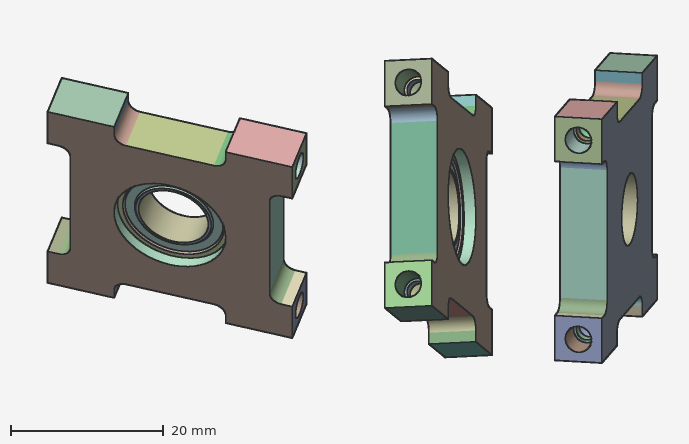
import cadquery as cq
import math

width = 33.53
thickness = 6.35
height = 33.03
notch_depth = 3.12
top_notch_width = 15.25
side_notch_height = 20.85
notch_radius = 1.6

seat_diameter = 15.3
seat_depth = 1.58
outer_race_diameter = 13.88
shield_outer_diameter = 13.4
shield_inner_diameter = 10.8
inner_race_diameter = 10.35
shield_recess = 0.27
bore_diameter = 9.55

thread_diameter = 3.5
thread_depth = 5.03
drill_diameter = 2.75
drill_depth = 6.7
drill_point_angle = 118.0

front = -thickness / 2
back = thickness / 2


def make_plate():
    """Rectangular plate with a round-cornered notch in the middle of each edge."""
    plate = cq.Workplane("XY").box(width, thickness, height)
    top_cutter = (
        cq.Workplane("XY")
        .box(top_notch_width, thickness, 2 * notch_depth)
        .edges("|Y")
        .fillet(notch_radius)
    )
    side_cutter = (
        cq.Workplane("XY")
        .box(2 * notch_depth, thickness, side_notch_height)
        .edges("|Y")
        .fillet(notch_radius)
    )
    for side in (-1, 1):
        plate = plate.cut(top_cutter.translate((0, 0, side * height / 2)))
        plate = plate.cut(side_cutter.translate((side * width / 2, 0, 0)))
    return plate


def make_bearing_cut():
    """Space in front of the bearing, its recessed shield and its bore."""
    seat_floor = front + seat_depth
    shield_face = seat_floor + shield_recess
    profile = [
        (0, front),
        (seat_diameter / 2, front),
        (seat_diameter / 2, seat_floor),
        (outer_race_diameter / 2, seat_floor),
        (shield_outer_diameter / 2, shield_face),
        (shield_inner_diameter / 2, shield_face),
        (inner_race_diameter / 2, seat_floor),
        (bore_diameter / 2, seat_floor),
        (bore_diameter / 2, back),
        (0, back),
    ]
    return cq.Workplane("XY").polyline(profile).close().revolve(360, (0, 0), (0, 1))


def make_lug_hole():
    """Stepped hole with a drill point, running along +X from the left face."""
    drill_radius = drill_diameter / 2
    point_length = drill_radius / math.tan(math.radians(drill_point_angle / 2))
    profile = [
        (0, 0),
        (0, thread_diameter / 2),
        (thread_depth, thread_diameter / 2),
        (thread_depth, drill_radius),
        (drill_depth, drill_radius),
        (drill_depth + point_length, 0),
    ]
    hole = cq.Workplane("XY").polyline(profile).close().revolve(360, (0, 0), (1, 0))
    return hole.translate((-width / 2, 0, 0))


result = make_plate().cut(make_bearing_cut())

lug_height = (height - side_notch_height) / 2
hole_height = (height - lug_height) / 2
left_hole = make_lug_hole()
for hole in (left_hole, left_hole.mirror("YZ")):
    for level in (-hole_height, hole_height):
        result = result.cut(hole.translate((0, 0, level)))